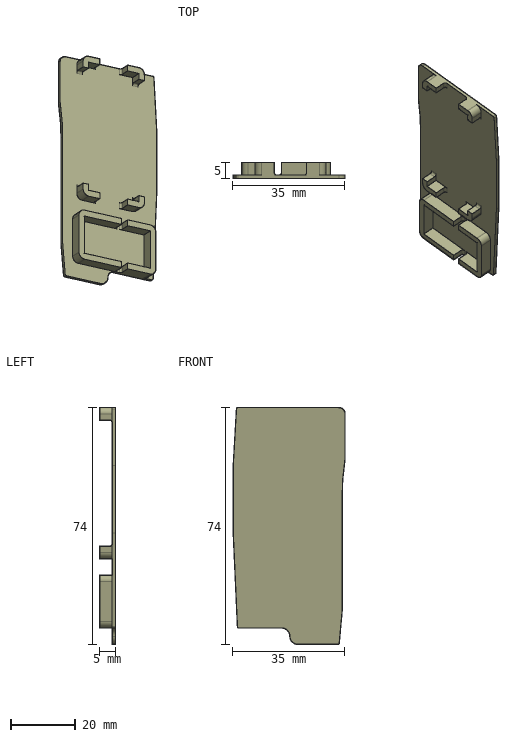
import cadquery as cq

width = 35.0
height = 74.0
depth = 5.0
plate_thickness = 1.1

top_left_x = 1.0
left_flat_top_z = 55.9
left_flat_bottom_z = 34.8
bottom_left_x = 1.3
right_shoulder_z = 58.0
right_flank_z = 51.4
right_flank_x = 34.25
right_flat_top_z = 46.6
right_flat_bottom_z = 10.7
right_flat_x = 34.1
bottom_right_x = 33.15
top_right_radius = 2.0
small_corner_radius = 0.5

step_height = 5.1
step_radius = step_height / 2
step_x = 17.7

wall = 2.0
wall_corner_radius = 2.0
root_radius = 0.75
wall_depth = depth - plate_thickness

corners_left = 6.8
corners_right = 29.0
corners_top = height
corners_bottom = 26.7
corner_length_x = 6.1
corner_length_z = 4.0

brackets_left = 2.7
brackets_right = 30.5
brackets_top = 21.7
brackets_bottom = 5.1
left_bracket_end = corners_left + corner_length_x
right_bracket_end = 15.1


def xz_sketch(y):
    """Sketch plane at the given Y; its normal is -Y, so negative extrusions grow towards +Y."""
    return cq.Workplane("XZ", origin=(0, y, 0))


def round_corner(body, x, z, radius):
    corner = cq.selectors.NearestToPointSelector((x, plate_thickness / 2, z))
    return body.edges("|Y").edges(corner).fillet(radius)


def make_plate():
    plate = (
        xz_sketch(0)
        .moveTo(top_left_x, height)
        .lineTo(width, height)
        .lineTo(width, right_shoulder_z)
        .lineTo(right_flank_x, right_flank_z)
        .lineTo(right_flat_x, right_flat_top_z)
        .lineTo(right_flat_x, right_flat_bottom_z)
        .lineTo(bottom_right_x, 0)
        .lineTo(step_x + step_radius, 0)
        .radiusArc((step_x, step_radius), step_radius)
        .radiusArc((step_x - step_radius, step_height), -step_radius)
        .lineTo(bottom_left_x, step_height)
        .lineTo(0, left_flat_bottom_z)
        .lineTo(0, left_flat_top_z)
        .close()
        .extrude(-plate_thickness)
    )
    plate = round_corner(plate, width, height, top_right_radius)
    plate = round_corner(plate, top_left_x, height, small_corner_radius)
    plate = round_corner(plate, bottom_left_x, step_height, small_corner_radius)
    return round_corner(plate, bottom_right_x, 0, small_corner_radius)


def fillet_wall_end(body, x, z):
    """Blend the end face of a wall into the plate at the middle of its root edge."""
    root = cq.selectors.NearestToPointSelector((x, plate_thickness, z))
    return body.edges(root).fillet(root_radius)


def add_corner_wall(body, x, z, inward_x, inward_z):
    """L-shaped wall with its outer corner at (x, z); the inward signs point along its legs."""
    end_x = x + inward_x * corner_length_x
    end_z = z + inward_z * corner_length_z
    inner_x = x + inward_x * wall
    inner_z = z + inward_z * wall
    outline = [(x, z), (end_x, z), (end_x, inner_z), (inner_x, inner_z), (inner_x, end_z), (x, end_z)]
    corner = cq.selectors.NearestToPointSelector((x, plate_thickness + wall_depth / 2, z))
    corner_wall = (
        xz_sketch(plate_thickness)
        .polyline(outline)
        .close()
        .extrude(-wall_depth)
        .edges(corner)
        .fillet(wall_corner_radius)
    )
    body = body.union(corner_wall)
    body = fillet_wall_end(body, end_x, (z + inner_z) / 2)
    return fillet_wall_end(body, (x + inner_x) / 2, end_z)


def add_bracket(body, x, end_x, inward_x):
    """C-shaped wall with its back at x and both arms ending at end_x."""
    inner_x = x + inward_x * wall
    arm_top = brackets_top - wall
    arm_bottom = brackets_bottom + wall
    outline = [
        (x, brackets_top),
        (end_x, brackets_top),
        (end_x, arm_top),
        (inner_x, arm_top),
        (inner_x, arm_bottom),
        (end_x, arm_bottom),
        (end_x, brackets_bottom),
        (x, brackets_bottom),
    ]
    bracket = xz_sketch(plate_thickness).polyline(outline).close().extrude(-wall_depth)
    for z in (brackets_top, brackets_bottom):
        corner = cq.selectors.NearestToPointSelector((x, plate_thickness + wall_depth / 2, z))
        bracket = bracket.edges(corner).fillet(wall_corner_radius)
    body = body.union(bracket)
    for arm_z in (brackets_top - wall / 2, brackets_bottom + wall / 2):
        body = fillet_wall_end(body, end_x, arm_z)
    return body


result = make_plate()
for side_x, inward_x in ((corners_left, 1), (corners_right, -1)):
    for side_z, inward_z in ((corners_top, -1), (corners_bottom, 1)):
        result = add_corner_wall(result, side_x, side_z, inward_x, inward_z)
result = add_bracket(result, brackets_left, left_bracket_end, 1)
result = add_bracket(result, brackets_right, right_bracket_end, -1)